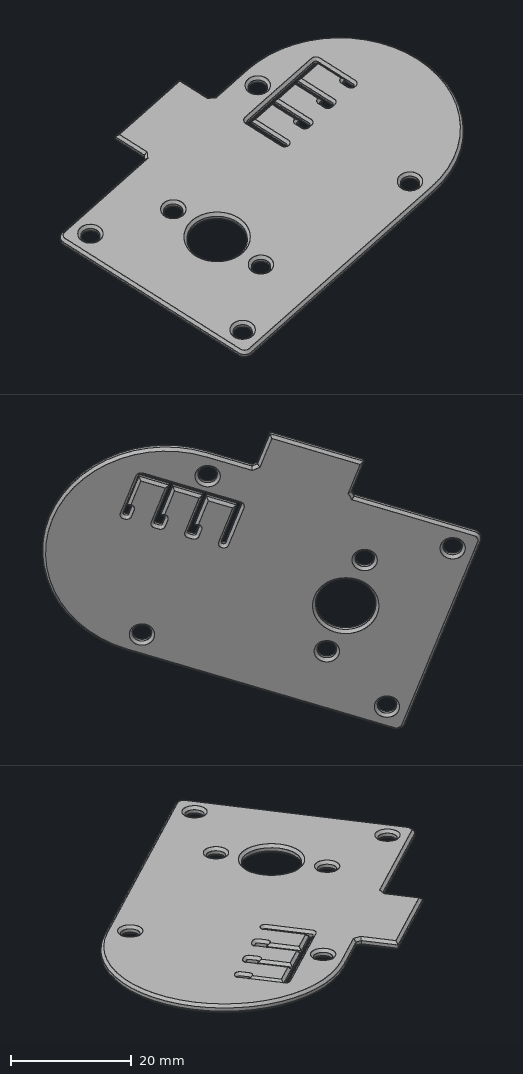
import cadquery as cq

thickness = 1.6
edge_chamfer = 0.5
body_width = 41.0
body_length = 69.0
arch_radius = body_width / 2
arch_center_y = body_length - arch_radius
corner_radius = 1.5

tab_reach = 7.0
tab_bottom_y = 23.4
tab_top_y = 39.9
tab_root_chamfer = 0.7

screw_diameter = 3.2
mount_spacing_x = 33.0
mount_spacing_y = 43.0
mount_bottom_y = 4.0
bore_diameter = 10.0
bore_y = 17.0
flange_spacing = 19.0

cutout_left_x = -13.05
cutout_right_x = -4.5
cutout_top_y = 57.75
cutout_bottom_y = 39.75
cutout_corner_radius = 0.5
finger_pitch = 5.92
finger_height = 5.3
finger_gap_left = 0.6
lowest_finger_y = 40.5
finger_count = 3
relief_width = 2.0
relief_depth = 0.85
relief_radius = 0.3
slot_end_radius = 0.35


def box_between(x_min, x_max, y_min, y_max):
    """Plate-thick block spanning the given X and Y limits."""
    center = ((x_min + x_max) / 2, (y_min + y_max) / 2)
    return cq.Workplane("XY").center(*center).rect(x_max - x_min, y_max - y_min).extrude(thickness)


def make_plate():
    """Arch-topped plate with its side tab."""
    half_width = body_width / 2
    body = (
        cq.Workplane("XY")
        .moveTo(-half_width, 0)
        .lineTo(half_width, 0)
        .lineTo(half_width, arch_center_y)
        .threePointArc((0, body_length), (-half_width, arch_center_y))
        .close()
        .extrude(thickness)
        .edges("|Z and <Y")
        .fillet(corner_radius)
    )
    tab = box_between(-half_width - tab_reach, 0, tab_bottom_y, tab_top_y)
    root_points = [(-half_width, y, thickness / 2) for y in (tab_bottom_y, tab_top_y)]
    plate = body.union(tab)
    for point in root_points:
        plate = plate.edges(cq.selectors.NearestToPointSelector(point)).chamfer(tab_root_chamfer)
    return plate


def make_finger(bottom_y):
    """Finger with a relief notch in its upper side, next to the root."""
    top_y = bottom_y + finger_height
    finger = box_between(cutout_left_x + finger_gap_left, cutout_right_x, bottom_y, top_y)
    relief = (
        box_between(cutout_right_x - relief_width, cutout_right_x, top_y - relief_depth, top_y)
        .edges("|Z and <X and <Y")
        .fillet(relief_radius)
    )
    return finger.cut(relief)


def make_finger_cutout():
    """Cutout that leaves the fingers standing, with rounded outer corners and slot ends."""
    cutout = (
        box_between(cutout_left_x, cutout_right_x, cutout_bottom_y, cutout_top_y)
        .edges("|Z and <X")
        .fillet(cutout_corner_radius)
    )
    for index in range(finger_count):
        cutout = cutout.cut(make_finger(lowest_finger_y + index * finger_pitch))
    return cutout.edges("|Z and >X").fillet(slot_end_radius)


def drill(plate, points, diameter):
    """Through holes at the given points."""
    return plate.cut(cq.Workplane("XY").pushPoints(points).circle(diameter / 2).extrude(thickness))


mount_points = [
    (side * mount_spacing_x / 2, mount_bottom_y + row * mount_spacing_y)
    for side in (-1, 1)
    for row in (0, 1)
]
flange_points = [(side * flange_spacing / 2, bore_y) for side in (-1, 1)]

plate = make_plate()
plate = drill(plate, mount_points + flange_points, screw_diameter)
plate = drill(plate, [(0, bore_y)], bore_diameter)
plate = plate.cut(make_finger_cutout())
result = plate.faces("<Z or >Z").edges().chamfer(edge_chamfer)